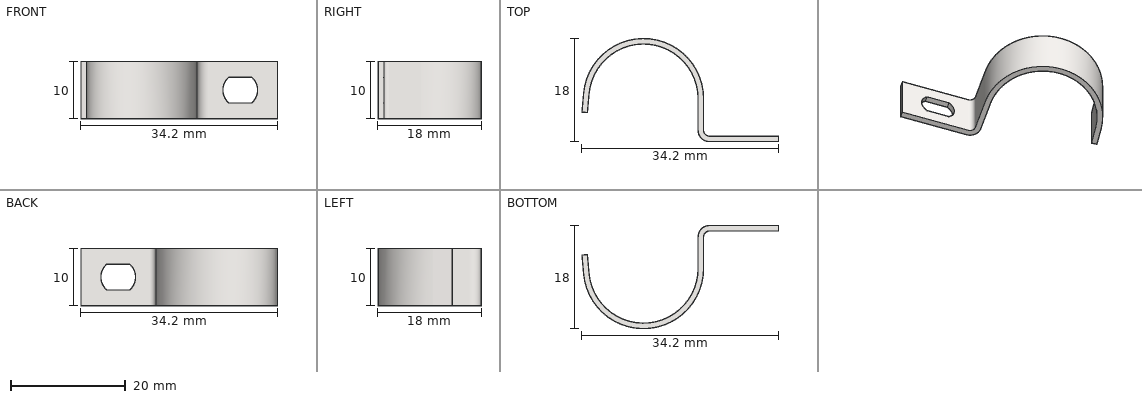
import cadquery as cq
import math

total_length = 34.25
total_depth = 17.98
band_width = 10.0
thickness = 1.0

loop_outer_radius = 10.48
loop_inner_radius = loop_outer_radius - thickness
lip_angle = math.radians(5)
lip_length = 3.3

bend_inner_radius = 1.0
bend_outer_radius = bend_inner_radius + thickness

hole_diameter = 6.0
hole_height = 4.45
hole_to_foot_end = 6.5

tangent = (-math.cos(lip_angle), math.sin(lip_angle))
lip_direction = (-math.sin(lip_angle), -math.cos(lip_angle))


def lip_point(radius, distance):
    """Point on the lip face that continues the loop face of this radius."""
    return tuple(radius * t + distance * d for t, d in zip(tangent, lip_direction))


lip_outer_end = lip_point(loop_outer_radius, lip_length)
foot_end_x = lip_outer_end[0] + total_length
foot_bottom_y = loop_outer_radius - total_depth
foot_top_y = foot_bottom_y + thickness

bend_center_x = loop_outer_radius + bend_inner_radius
bend_center_y = foot_top_y + bend_inner_radius


def bend_middle(radius):
    """Midpoint of the quarter bend of this radius."""
    offset = radius * math.sqrt(0.5)
    return (bend_center_x - offset, bend_center_y - offset)


def make_strap():
    """Constant-thickness strip profile extruded to the band width."""
    profile = (
        cq.Workplane("XY")
        .moveTo(*lip_outer_end)
        .lineTo(*lip_point(loop_outer_radius, 0))
        .threePointArc((0, loop_outer_radius), (loop_outer_radius, 0))
        .lineTo(loop_outer_radius, bend_center_y)
        .threePointArc(bend_middle(bend_inner_radius), (bend_center_x, foot_top_y))
        .lineTo(foot_end_x, foot_top_y)
        .lineTo(foot_end_x, foot_bottom_y)
        .lineTo(bend_center_x, foot_bottom_y)
        .threePointArc(bend_middle(bend_outer_radius), (loop_inner_radius, bend_center_y))
        .lineTo(loop_inner_radius, 0)
        .threePointArc((0, loop_inner_radius), lip_point(loop_inner_radius, 0))
        .lineTo(*lip_point(loop_inner_radius, lip_length))
        .close()
    )
    return profile.extrude(band_width / 2, both=True)


def make_hole_cutter():
    """Round cutter trimmed by two flats, passing through the foot along Y."""
    cutter_depth = 3 * thickness
    foot_middle = (foot_end_x - hole_to_foot_end, foot_bottom_y + thickness / 2, 0)
    plane = cq.Workplane("XZ", origin=foot_middle)
    disc = plane.circle(hole_diameter / 2).extrude(cutter_depth / 2, both=True)
    flats = plane.rect(hole_diameter, hole_height).extrude(cutter_depth / 2, both=True)
    return disc.intersect(flats)


result = make_strap().cut(make_hole_cutter())